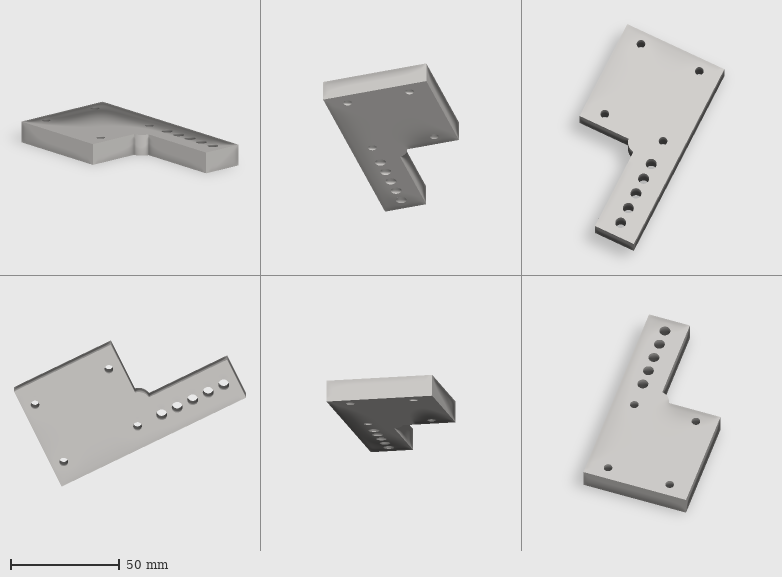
import cadquery as cq

length = 95.1
body_side = 50.0
thickness = 10.0
arm_width = 20.0

pad_radius = 6.0
pad_inset = 1.0

mount_diameter = 4.0
mount_x_left = 6.0
mount_spacing_x = 38.0
mount_edge_y = 10.0

arm_hole_diameter = 5.0
arm_hole_count = 5
arm_hole_pitch = 8.0
arm_hole_first_x = 56.5

arm_front_y = body_side - arm_width
arm_center_y = body_side - arm_width / 2


def make_plate():
    body = cq.Workplane("XY").rect(body_side, body_side, centered=False).extrude(thickness)
    arm = (
        cq.Workplane("XY")
        .center(0, arm_front_y)
        .rect(length, arm_width, centered=False)
        .extrude(thickness)
    )
    pad = (
        cq.Workplane("XY")
        .center(body_side - pad_inset, arm_front_y + pad_inset)
        .circle(pad_radius)
        .extrude(thickness)
    )
    return body.union(arm).union(pad).clean()


def through_holes(points, diameter):
    return cq.Workplane("XY").pushPoints(points).circle(diameter / 2).extrude(thickness)


mount_points = [
    (x, y)
    for x in (mount_x_left, mount_x_left + mount_spacing_x)
    for y in (mount_edge_y, body_side - mount_edge_y)
]
arm_points = [
    (arm_hole_first_x + i * arm_hole_pitch, arm_center_y) for i in range(arm_hole_count)
]

result = (
    make_plate()
    .cut(through_holes(mount_points, mount_diameter))
    .cut(through_holes(arm_points, arm_hole_diameter))
)